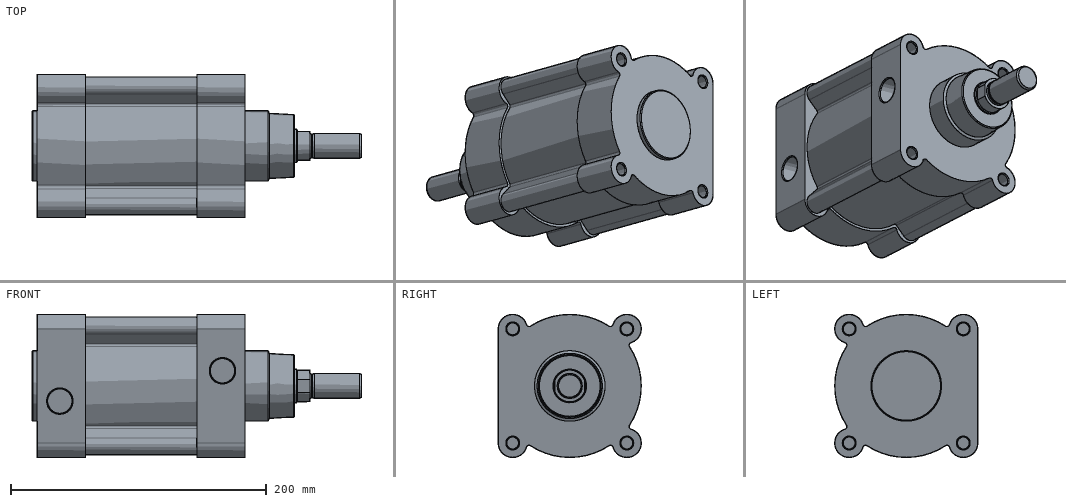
import cadquery as cq
import math

OVERALL_LENGTH = 258.0

CAP_RADIUS = 56.0
EAR_SPACING = 89.3
EAR_CENTRE = EAR_SPACING / 2
EAR_RADIUS = CAP_RADIUS - EAR_CENTRE
EAR_FILLET = 2.0

BARREL_RADIUS = 54.0
RIB_RADIUS = 7.7
RIB_CENTRE = BARREL_RADIUS - RIB_RADIUS
RIB_FILLET = 1.8

BOSS_LENGTH = 4.0
CAP_LENGTH = 38.0
BARREL_LENGTH = 87.0
COLLAR_LENGTH = 17.8
COLLAR_BEVEL_LENGTH = 1.0
CONE_LENGTH = 19.9

REAR_CAP_START = BOSS_LENGTH
BARREL_START = REAR_CAP_START + CAP_LENGTH
FRONT_CAP_START = BARREL_START + BARREL_LENGTH
FRONT_CAP_END = FRONT_CAP_START + CAP_LENGTH
COLLAR_END = FRONT_CAP_END + COLLAR_LENGTH
CONE_START = COLLAR_END + COLLAR_BEVEL_LENGTH
NOSE_END = CONE_START + CONE_LENGTH

BOSS_RADIUS = 27.5
BOSS_CHAMFER = 0.8
COLLAR_RADIUS = BOSS_RADIUS
CONE_BASE_RADIUS = 25.5
CONE_TIP_RADIUS = 24.5
CONE_CHAMFER = 0.8

HOLE_RADIUS = 4.6
HOLE_DEPTH = 20.0
HOLE_CHAMFER = 0.8

PORT_RADIUS = 9.5
PORT_DEPTH = 15.5
PORT_CHAMFER = 0.8
PORT_FROM_INNER_FACE = 20.0
PORT_OFFSET = 11.9

FLANGE_RADIUS = 13.2
FLANGE_LENGTH = 1.3
SHOULDER_RADIUS = 12.5
SHOULDER_START = NOSE_END + 2.0
SHOULDER_END = NOSE_END + 11.9
FLAT_HALF_WIDTH = 11.4
FLAT_START = NOSE_END + 2.3
NECK_RADIUS = 9.3
NECK_START = SHOULDER_END + 1.3
NECK_END = NECK_START + 0.8
THREAD_RADIUS = 9.8
THREAD_START = NECK_END + 1.5
ROD_CHAMFER = 1.0
ROD_CHAMFER_LENGTH = 1.5

CORNERS = [(y, z) for y in (-1, 1) for z in (-1, 1)]


def cylinder(start, length, radius, y=0.0, z=0.0):
    """Cylinder along X, starting at X = start."""
    return cq.Workplane("YZ", origin=(start, y, z)).circle(radius).extrude(length)


def turned(points):
    """Solid of revolution about X from (x, radius) points."""
    profile = [(points[0][0], 0.0), *points, (points[-1][0], 0.0)]
    return cq.Workplane("XY").polyline(profile).close().revolve(360, (0, 0, 0), (1, 0, 0))


def fillet_corners(block, points, radius):
    """Rounds the edge nearest to each of the points."""
    for point in points:
        block = block.edges(cq.NearestToPointSelector(point)).fillet(radius)
    return block


def cap_block(start):
    """Round block with four corner ears, filled out flat on the -Y side."""
    block = cylinder(start, CAP_LENGTH, CAP_RADIUS)
    for y, z in CORNERS:
        ear = cylinder(start, CAP_LENGTH, EAR_RADIUS, y * EAR_CENTRE, z * EAR_CENTRE)
        block = block.union(ear)
    middle = start + CAP_LENGTH / 2
    slab = cq.Workplane("XY").box(CAP_LENGTH, EAR_RADIUS, EAR_SPACING)
    block = block.union(slab.translate((middle, -CAP_RADIUS + EAR_RADIUS / 2, 0)))

    diagonal = EAR_CENTRE * math.sqrt(2)
    along = (diagonal**2 + CAP_RADIUS**2 - EAR_RADIUS**2) / (2 * diagonal)
    across = math.sqrt(CAP_RADIUS**2 - along**2)
    far = (along + across) / math.sqrt(2)
    near = (along - across) / math.sqrt(2)
    top_and_bottom = [(middle, y * near, z * far) for y, z in CORNERS]
    back = [(middle, far, z * near) for z in (-1, 1)]
    return fillet_corners(block, top_and_bottom + back, EAR_FILLET)


def blind_hole(radius, depth, chamfer):
    """Cutter for a blind hole with a chamfered mouth at the origin, running along +X."""
    mouth = radius + chamfer
    return turned([(0, mouth), (chamfer, radius), (depth, radius)])


def mounting_holes(face, direction):
    """Cutters for the four ear holes, running from X = face along +X or -X."""
    hole = blind_hole(HOLE_RADIUS, HOLE_DEPTH, HOLE_CHAMFER)
    if direction < 0:
        hole = hole.mirror("YZ")
    cutters = cq.Workplane("XY")
    for y, z in CORNERS:
        cutters = cutters.add(hole.translate((face, y * EAR_CENTRE, z * EAR_CENTRE)))
    return cutters.combine()


def port(x, z):
    """Cutter for an air port entering the flat side along +Y."""
    hole = blind_hole(PORT_RADIUS, PORT_DEPTH, PORT_CHAMFER)
    return hole.rotate((0, 0, 0), (0, 0, 1), 90).translate((x, -CAP_RADIUS, z))


def make_rear_cap():
    """Rear cap with its locating boss, mounting holes and air port."""
    cap = cap_block(REAR_CAP_START)
    boss = cylinder(0, BOSS_LENGTH, BOSS_RADIUS).faces("<X").chamfer(BOSS_CHAMFER)
    cap = cap.union(boss)
    cap = cap.cut(mounting_holes(REAR_CAP_START, 1))
    return cap.cut(port(BARREL_START - PORT_FROM_INNER_FACE, -PORT_OFFSET))


def make_barrel():
    """Barrel between the caps, with a rib along each corner."""
    barrel = cylinder(BARREL_START, BARREL_LENGTH, BARREL_RADIUS)
    middle = BARREL_START + BARREL_LENGTH / 2
    rib_reach = RIB_CENTRE * math.sqrt(2)
    web = cq.Workplane("XY").box(BARREL_LENGTH, rib_reach, 2 * RIB_RADIUS)
    rib = web.translate((middle, rib_reach / 2, 0))
    rib = rib.union(cylinder(BARREL_START, BARREL_LENGTH, RIB_RADIUS, y=rib_reach))
    corner_points = []
    half_angle = math.degrees(math.asin(RIB_RADIUS / BARREL_RADIUS))
    for rib_angle in (45, 135, 225, 315):
        barrel = barrel.union(rib.rotate((0, 0, 0), (1, 0, 0), rib_angle))
        for side in (-1, 1):
            angle = math.radians(rib_angle + side * half_angle)
            y = BARREL_RADIUS * math.cos(angle)
            z = BARREL_RADIUS * math.sin(angle)
            corner_points.append((middle, y, z))
    return fillet_corners(barrel, corner_points, RIB_FILLET)


def make_front_cap():
    """Front cap with its tapered nose, mounting holes and air port."""
    cap = cap_block(FRONT_CAP_START)
    nose = turned([
        (FRONT_CAP_END, COLLAR_RADIUS),
        (COLLAR_END, COLLAR_RADIUS),
        (CONE_START, CONE_BASE_RADIUS),
        (NOSE_END, CONE_TIP_RADIUS),
    ]).faces(">X").chamfer(CONE_CHAMFER)
    cap = cap.union(nose)
    cap = cap.cut(mounting_holes(FRONT_CAP_END, -1))
    return cap.cut(port(FRONT_CAP_START + PORT_FROM_INNER_FACE, PORT_OFFSET))


def make_rod():
    """Piston rod end: flange, shoulder with two wrench flats, neck and thread."""
    rod = turned([
        (NOSE_END, FLANGE_RADIUS),
        (NOSE_END + FLANGE_LENGTH, FLANGE_RADIUS),
        (SHOULDER_START, SHOULDER_RADIUS),
        (SHOULDER_END, SHOULDER_RADIUS),
        (SHOULDER_END, THREAD_RADIUS),
        (NECK_START, NECK_RADIUS),
        (NECK_END, NECK_RADIUS),
        (THREAD_START, THREAD_RADIUS),
        (OVERALL_LENGTH - ROD_CHAMFER_LENGTH, THREAD_RADIUS),
        (OVERALL_LENGTH, THREAD_RADIUS - ROD_CHAMFER),
    ])
    flat_length = SHOULDER_END - FLAT_START
    for side in (-1, 1):
        waste = cq.Workplane("XY").box(flat_length, SHOULDER_RADIUS, 2 * SHOULDER_RADIUS)
        offset = FLAT_HALF_WIDTH + SHOULDER_RADIUS / 2
        rod = rod.cut(waste.translate((FLAT_START + flat_length / 2, side * offset, 0)))
    return rod


rear_cap = make_rear_cap()
barrel = make_barrel()
front_cap = make_front_cap()
rod = make_rod()

result = cq.Compound.makeCompound([rear_cap.val(), barrel.val(), front_cap.val(), rod.val()])